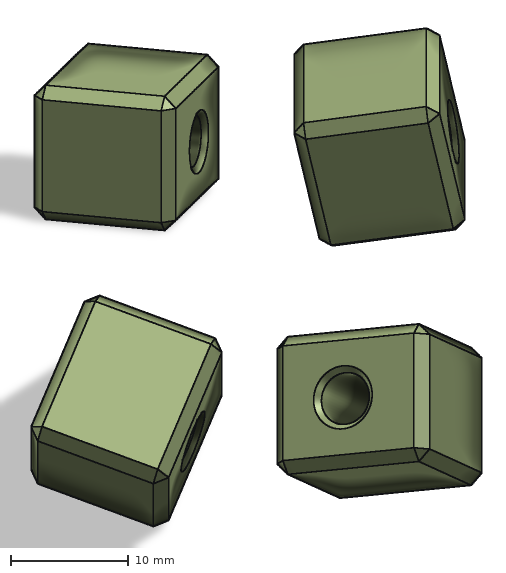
import cadquery as cq

length_x = 12.6
length_y = 14.32
height_z = 12.0
edge_chamfer = 1.0

hole_diameter = 4.5
hole_offset_y = 0.52
hole_chamfer = 0.5


def chamfered_block():
    """Centred block with all twelve edges chamfered."""
    return cq.Workplane("XY").box(length_x, length_y, height_z).edges().chamfer(edge_chamfer)


def hole_cutter():
    """Cylinder along X that flares into a 45 degree chamfer at both end faces."""
    half_length = length_x / 2
    radius = hole_diameter / 2
    mouth_radius = radius + hole_chamfer
    profile = (
        cq.Workplane("XY")
        .moveTo(-half_length, 0)
        .lineTo(-half_length, mouth_radius)
        .lineTo(-half_length + hole_chamfer, radius)
        .lineTo(half_length - hole_chamfer, radius)
        .lineTo(half_length, mouth_radius)
        .lineTo(half_length, 0)
        .close()
    )
    return profile.revolve(360, (0, 0, 0), (1, 0, 0)).translate((0, hole_offset_y, 0))


result = chamfered_block().cut(hole_cutter())